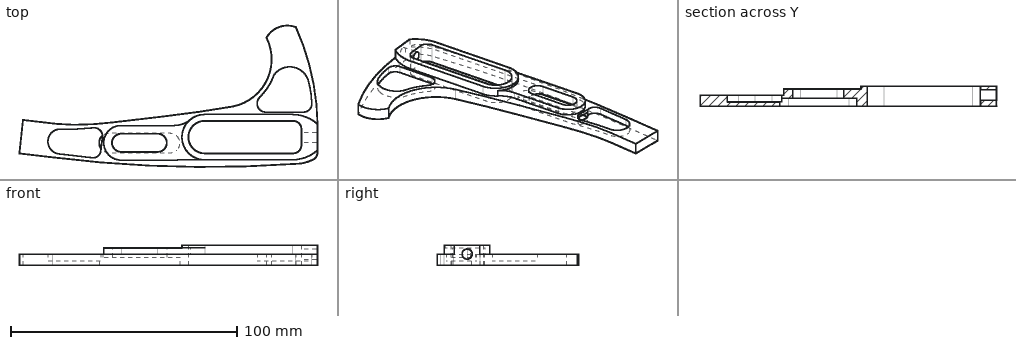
import cadquery as cq
import math

PLATE_TOP = 5.0
SMALL_PAD_TOP = 7.8
LARGE_PAD_TOP = 9.0
POCKET_DEPTH = 3.0

LENGTH = 132.0

LARGE_Y = 13.2
LARGE_X = 82.0
LARGE_RADIUS = 10.0
LARGE_STRAIGHT_END = 120.8
LARGE_END_HALF_WIDTH = 5.7
WINDOW_HALF_WIDTH = 7.1
WINDOW_END = 124.7
WINDOW_CORNER = 3.5
ROUND_CLEARANCE = 0.01

SMALL_Y = 10.7
SMALL_X = 45.0
SMALL_RADIUS = 7.7
SMALL_STRAIGHT_END = 61.0
BLEND_START = 68.6
SLOT_HALF_WIDTH = 4.0
SLOT_END = 65.2
RELIEF_HALF_WIDTH = 4.4
RELIEF_HEIGHT = 3.5
RELIEF_EXTENSION = 10.5

HOLE_DIAMETER = 4.5
HOLE_Z = 5.0


def plate():
    """Curved lever with a hooked thumb horn at its thick end."""
    return (
        cq.Workplane("XY")
        .moveTo(0, 6.0)
        .lineTo(1.6, 20.9)
        .spline(
            [(10.2, 19.8), (22.8, 18.7), (48.3, 20.6), (79.3, 24.4), (94.4, 26.8)],
            includeCurrent=True,
        )
        .threePointArc((107.6, 35.2), (109.3, 57.2))
        .threePointArc((114.5, 61.8), (122.4, 61.9))
        .threePointArc((129.5, 40.4), (LENGTH, LARGE_Y + LARGE_END_HALF_WIDTH))
        .lineTo(LENGTH, 7.0)
        .threePointArc((131.3, 4.5), (129.2, 2.9))
        .threePointArc((125.8, 1.7), (122.0, 1.3))
        .threePointArc((75.2, 0), (14.7, 4.2))
        .close()
        .extrude(PLATE_TOP)
    )


def large_pad():
    """Raised rim around the window, round at one end and tapering at the other."""
    top = LARGE_Y + LARGE_RADIUS
    bottom = LARGE_Y - LARGE_RADIUS
    run = LENGTH - LARGE_STRAIGHT_END
    drop = LARGE_RADIUS - LARGE_END_HALF_WIDTH
    taper_radius = (run**2 + drop**2) / (2 * drop)
    half_angle = math.asin(run / taper_radius) / 2
    taper_x = LARGE_STRAIGHT_END + taper_radius * math.sin(half_angle)
    taper_half_width = LARGE_RADIUS - taper_radius * (1 - math.cos(half_angle))
    return (
        cq.Workplane("XY")
        .moveTo(LARGE_STRAIGHT_END, bottom)
        .lineTo(LARGE_X, bottom)
        .threePointArc((LARGE_X - LARGE_RADIUS, LARGE_Y), (LARGE_X, top))
        .lineTo(LARGE_STRAIGHT_END, top)
        .threePointArc((taper_x, LARGE_Y + taper_half_width), (LENGTH, LARGE_Y + LARGE_END_HALF_WIDTH))
        .lineTo(LENGTH, LARGE_Y - LARGE_END_HALF_WIDTH)
        .threePointArc((taper_x, LARGE_Y - taper_half_width), (LARGE_STRAIGHT_END, bottom))
        .close()
        .extrude(LARGE_PAD_TOP)
    )


def small_pad():
    """Lower rim around the slot, blending into the large pad."""
    top = SMALL_Y + SMALL_RADIUS
    bottom = SMALL_Y - SMALL_RADIUS
    return (
        cq.Workplane("XY")
        .moveTo(SMALL_X, bottom)
        .threePointArc((SMALL_X - SMALL_RADIUS, SMALL_Y), (SMALL_X, top))
        .lineTo(BLEND_START, top)
        .tangentArcPoint((75.6, 21.0), relative=False)
        .lineTo(LARGE_X, LARGE_Y)
        .lineTo(LARGE_X, LARGE_Y - LARGE_RADIUS)
        .lineTo(SMALL_STRAIGHT_END, bottom)
        .close()
        .extrude(SMALL_PAD_TOP)
    )


def window():
    """Through window with a full round at one end and small corners at the other."""
    left = LARGE_X - WINDOW_HALF_WIDTH
    return (
        cq.Workplane("XY")
        .moveTo((left + WINDOW_END) / 2, LARGE_Y)
        .rect(WINDOW_END - left, 2 * WINDOW_HALF_WIDTH)
        .extrude(LARGE_PAD_TOP)
        .edges("|Z and >X")
        .fillet(WINDOW_CORNER)
        .edges("|Z and <X")
        .fillet(WINDOW_HALF_WIDTH - ROUND_CLEARANCE)
    )


def slot(half_width, height, extension=0):
    """Obround cutter in the small pad, rising from the underside."""
    straight = SLOT_END - SLOT_HALF_WIDTH - SMALL_X
    return (
        cq.Workplane("XY")
        .center(SMALL_X + straight / 2, SMALL_Y)
        .slot2D(straight + extension + 2 * half_width, 2 * half_width)
        .extrude(height)
    )


def tail_pocket():
    """Shallow pocket near the thin end."""
    return (
        cq.Workplane("XY", origin=(0, 0, PLATE_TOP - POCKET_DEPTH))
        .moveTo(17.7, 16.8)
        .lineTo(25.1, 16.8)
        .lineTo(32.5, 17.3)
        .threePointArc((35.8, 16.2), (36.8, 13.2))
        .lineTo(36.0, 8.2)
        .threePointArc((35.1, 5.1), (32.2, 4.1))
        .lineTo(17.4, 5.8)
        .threePointArc((12.7, 11.2), (17.7, 16.8))
        .close()
        .extrude(POCKET_DEPTH)
    )


def horn_pocket():
    """Shallow pocket at the root of the horn."""
    return (
        cq.Workplane("XY", origin=(0, 0, PLATE_TOP - POCKET_DEPTH))
        .moveTo(108.8, 24.3)
        .lineTo(125.8, 24.3)
        .threePointArc((128.6, 25.6), (129.4, 28.4))
        .threePointArc((128.8, 33.8), (127.8, 38.4))
        .threePointArc((120.8, 44.2), (112.7, 40.8))
        .threePointArc((110.0, 35.2), (106.1, 30.6))
        .threePointArc((105.6, 26.4), (108.8, 24.3))
        .close()
        .extrude(POCKET_DEPTH)
    )


def cross_hole():
    """Hole along X through the wall at the thick end."""
    return (
        cq.Workplane("YZ", origin=(WINDOW_END - WINDOW_CORNER, LARGE_Y, HOLE_Z))
        .circle(HOLE_DIAMETER / 2)
        .extrude(LENGTH - WINDOW_END + 2 * WINDOW_CORNER)
    )


body = plate().union(small_pad()).union(large_pad())
cutters = [
    window(),
    slot(SLOT_HALF_WIDTH, SMALL_PAD_TOP),
    slot(RELIEF_HALF_WIDTH, RELIEF_HEIGHT, RELIEF_EXTENSION),
    tail_pocket(),
    horn_pocket(),
    cross_hole(),
]
for cutter in cutters:
    body = body.cut(cutter)

result = body